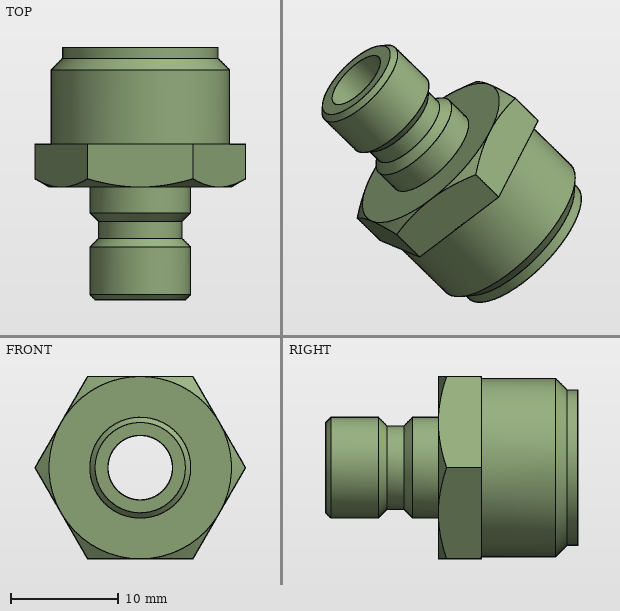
import cadquery as cq
import math

tip_chamfer = 0.5
groove_start = 4.9
groove_end = 8.1
hex_front = 10.5
hex_back = 14.5
total_length = 23.5
pilot_length = 1.0
body_chamfer_length = 1.08

nipple_diameter = 9.4
groove_diameter = 7.8
bore_diameter = 6.0
body_diameter = 16.64
pilot_diameter = 14.5

across_flats = 17.0
across_corners = across_flats / math.cos(math.radians(30))
hex_chamfer_angle = 30.0


def revolve_about_y(profile):
    """Revolve a closed (radius, y) outline about the Y axis."""
    return cq.Workplane("XY").polyline(profile).close().revolve(360, (0, 0, 0), (0, 1, 0))


def make_nipple():
    """Front nipple with a chamfered tip and a groove with 45 degree flanks."""
    radius = nipple_diameter / 2
    groove_radius = groove_diameter / 2
    flank = radius - groove_radius
    return revolve_about_y([
        (0, 0),
        (radius - tip_chamfer, 0),
        (radius, tip_chamfer),
        (radius, groove_start),
        (groove_radius, groove_start + flank),
        (groove_radius, groove_end - flank),
        (radius, groove_end),
        (radius, hex_back),
        (0, hex_back),
    ])


def make_hexagon():
    """Hexagon with corners on X, its front corners cut back by a cone."""
    prism = (
        cq.Workplane("XZ", origin=(0, hex_back, 0))
        .polygon(6, across_corners)
        .extrude(hex_back - hex_front)
    )
    face_radius = across_flats / 2
    cone_length = hex_back - hex_front
    back_radius = face_radius + cone_length / math.tan(math.radians(hex_chamfer_angle))
    cone = revolve_about_y([
        (0, hex_front),
        (face_radius, hex_front),
        (back_radius, hex_back),
        (0, hex_back),
    ])
    return prism.intersect(cone)


def make_body():
    """Rear cylinder, tapering to a short pilot at its end."""
    radius = body_diameter / 2
    pilot_radius = pilot_diameter / 2
    pilot_start = total_length - pilot_length
    return revolve_about_y([
        (0, hex_front),
        (pilot_radius, hex_front),
        (pilot_radius, hex_back),
        (radius, hex_back),
        (radius, pilot_start - body_chamfer_length),
        (pilot_radius, pilot_start),
        (pilot_radius, total_length),
        (0, total_length),
    ])


bore = cq.Workplane("XZ").circle(bore_diameter / 2).extrude(-total_length)

result = make_nipple().union(make_hexagon()).union(make_body()).cut(bore)